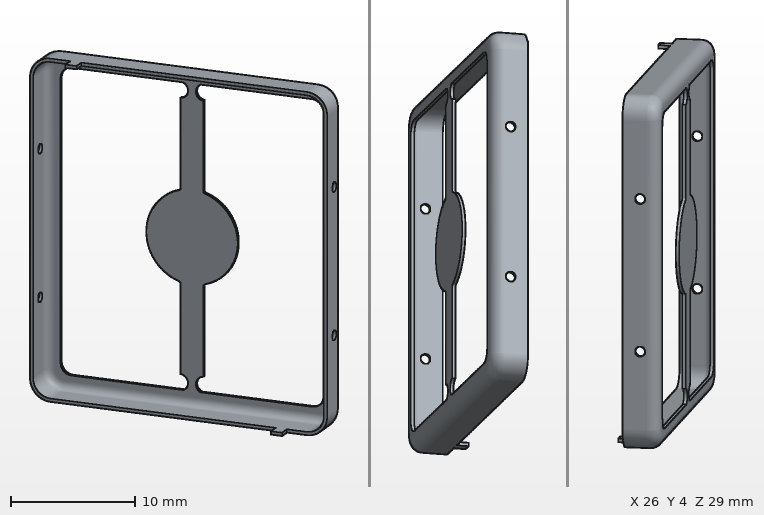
import cadquery as cq

width = 26.0
height = 29.0
total_depth = 4.0
tab_length = 1.0
frame_depth = total_depth - tab_length
wall = 0.3
corner_radius = 1.8
back_edge_radius = 1.0

rim_width = 1.5
window_corner_radius = 1.0

bridge_width = 2.0
disc_diameter = 8.0
disc_blend_radius = 0.2
neck_width = 0.7
notch_radius = 0.7
notch_depth = 2.15

hole_diameter = 0.8
hole_spacing = 12.53
hole_from_back = 1.57
tab_width = 1.0
tab_offset = 9.0

window_height = height - 2 * rim_width


def rounded_block(inset, radius, front, back):
    """Block inset from the frame outline, spanning front to back along Y."""
    return (
        cq.Workplane("XZ", origin=(0, back, 0))
        .rect(width - 2 * inset, height - 2 * inset)
        .extrude(back - front)
        .edges("|Y")
        .fillet(radius)
    )


def make_shell():
    """Tray with concentric rounded back edges outside and inside."""
    outer = rounded_block(0, corner_radius, 0, frame_depth)
    outer = outer.faces(">Y").edges().fillet(back_edge_radius)
    inner = rounded_block(wall, corner_radius - wall, 0, frame_depth - wall)
    inner = inner.faces(">Y").edges().fillet(back_edge_radius - wall)
    return outer.cut(inner)


def floor_plane():
    return cq.Workplane("XZ", origin=(0, frame_depth, 0))


def make_bridge():
    """Disc on a vertical strip, necked down by round notches at each end."""
    strip = floor_plane().rect(bridge_width, window_height).extrude(wall)
    disc = floor_plane().circle(disc_diameter / 2).extrude(wall)
    bridge = strip.union(disc)
    disc_junctions = cq.selectors.BoxSelector(
        (-bridge_width, 0, -disc_diameter / 2),
        (bridge_width, frame_depth, disc_diameter / 2),
    )
    bridge = bridge.edges("|Y").edges(disc_junctions).fillet(disc_blend_radius)

    notch_x = neck_width / 2 + notch_radius
    notch_z = height / 2 - notch_depth
    notch_centres = [(x, z) for x in (-notch_x, notch_x) for z in (-notch_z, notch_z)]
    notches = floor_plane().pushPoints(notch_centres).circle(notch_radius).extrude(wall)
    return bridge.cut(notches)


def make_side_holes():
    """Two holes through both side walls."""
    return (
        cq.Workplane("YZ", origin=(0, frame_depth - hole_from_back, 0))
        .pushPoints([(0, -hole_spacing / 2), (0, hole_spacing / 2)])
        .circle(hole_diameter / 2)
        .extrude(width, both=True)
    )


def make_tab(side):
    """Tab on the open edge: side 1 is top left, side -1 is bottom right."""
    tab_centre = (-side * tab_offset, (wall - tab_length) / 2, side * (height - wall) / 2)
    return cq.Workplane("XY").box(tab_width, tab_length + wall, wall).translate(tab_centre)


window = rounded_block(rim_width, window_corner_radius, 0, frame_depth)
result = make_shell().cut(window).union(make_bridge()).cut(make_side_holes())
for side in (1, -1):
    result = result.union(make_tab(side))